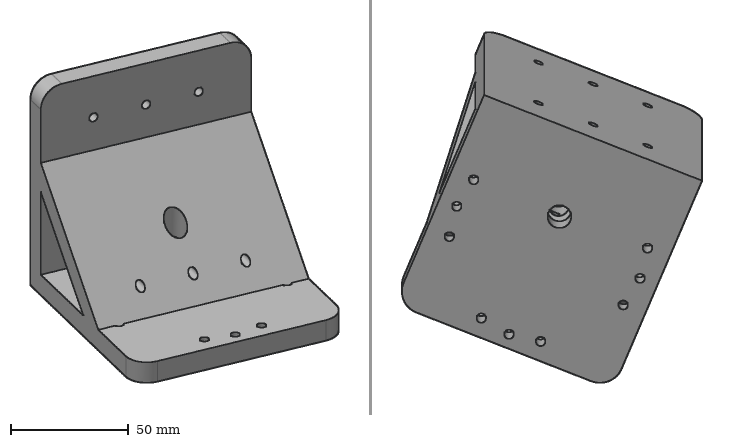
import cadquery as cq
import math

side = 100.0
thickness = 10.0
corner_radius = 10.0

brace_length = 80.0
brace_center_x = 34.1
brace_center_z = 33.0
brace_angle = 45.0

hole_diameter = 4.0
wall_hole_pitch = 25.0
wall_hole_heights = (20.0, 80.0)
access_hole_diameter = 10.0
access_hole_x = 37.7
arc_radius = 44.0
arc_step_angle = 18.0
side_arc_inset = 2.0

middle = side / 2


def arc_hole_points(direction, inset):
    """Three points on an arc about the base middle, moved inward along the direction."""
    heading = math.radians(direction)
    points = []
    for offset in (-arc_step_angle, 0, arc_step_angle):
        angle = math.radians(direction + offset)
        x = middle + arc_radius * math.cos(angle) - inset * math.cos(heading)
        y = middle + arc_radius * math.sin(angle) - inset * math.sin(heading)
        points.append((x, y))
    return points


def make_base():
    """Horizontal plate with three groups of holes and a rounded free end."""
    base = cq.Workplane("XY").box(side, side, thickness, centered=False)
    base = base.edges("|Z and >X").fillet(corner_radius)
    points = arc_hole_points(0, 0)
    for direction in (90, -90):
        points += arc_hole_points(direction, side_arc_inset)
    holes = cq.Workplane("XY").pushPoints(points).circle(hole_diameter / 2).extrude(thickness)
    return base.cut(holes)


def make_wall():
    """Vertical plate with rounded top corners."""
    wall = cq.Workplane("XY").box(thickness, side, side, centered=False)
    return wall.edges("|X and >Z").fillet(corner_radius)


def make_brace():
    """Tilted bar whose ends are embedded in both plates."""
    brace = cq.Workplane("XY").box(brace_length, side, thickness)
    brace = brace.rotate((0, 0, 0), (0, 1, 0), brace_angle)
    return brace.translate((brace_center_x, middle, brace_center_z))


def make_wall_holes():
    """Horizontal drillings; the lower row also passes through the brace."""
    points = [(middle + i * wall_hole_pitch, z) for i in (-1, 0, 1) for z in wall_hole_heights]
    return cq.Workplane("YZ").pushPoints(points).circle(hole_diameter / 2).extrude(side)


def make_access_hole():
    """Vertical drilling through both the brace and the base."""
    hole = cq.Workplane("XY").center(access_hole_x, middle)
    return hole.circle(access_hole_diameter / 2).extrude(side)


bracket = make_base().union(make_wall()).union(make_brace())
result = bracket.cut(make_wall_holes()).cut(make_access_hole())